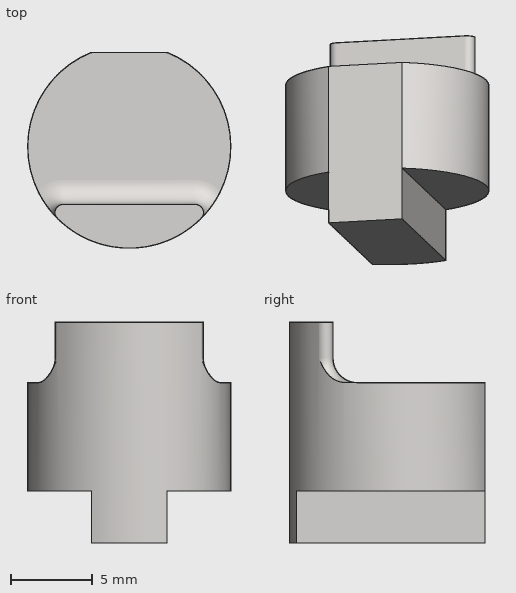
import cadquery as cq
import math

body_radius = 6.23
total_height = 13.54
tongue_height = 3.2
tongue_width = 4.63
shelf_height = 9.85
lip_inner_y = -3.53
lip_corner_radius = 0.51
corner_overlap = 0.001
foot_radius = 1.49

flat_y = math.sqrt(body_radius**2 - (tongue_width / 2) ** 2)

corner_distance = body_radius - lip_corner_radius + corner_overlap
lip_corner_y = lip_inner_y - lip_corner_radius
lip_corner_x = math.sqrt(corner_distance**2 - lip_corner_y**2)


def round_envelope():
    """Full-height cylinder with one flat, which bounds the whole part."""
    cylinder = cq.Workplane("XY").circle(body_radius).extrude(total_height)
    keep = cq.Workplane("XY").box(
        4 * body_radius, 2 * body_radius + flat_y, total_height, centered=(True, False, False)
    ).translate((0, -2 * body_radius, 0))
    return cylinder.intersect(keep)


def flared_profile(plane):
    """Half section of the lip: a wall that flares out into the shelf."""
    toe = lip_corner_radius + foot_radius
    arc_offset = foot_radius * (1 - math.sqrt(0.5))
    return (
        cq.Workplane(plane)
        .moveTo(0, tongue_height)
        .lineTo(toe, tongue_height)
        .lineTo(toe, shelf_height)
        .threePointArc(
            (lip_corner_radius + arc_offset, shelf_height + arc_offset),
            (lip_corner_radius, shelf_height + foot_radius),
        )
        .lineTo(lip_corner_radius, total_height)
        .lineTo(0, total_height)
        .close()
    )


def lip():
    """Upright lip with rounded ends and a fillet around its foot, before trimming to the body."""
    inner_side = (
        flared_profile("YZ")
        .extrude(lip_corner_x, both=True)
        .translate((0, lip_corner_y, 0))
    )
    outer_side = (
        cq.Workplane("XY", origin=(0, 0, tongue_height))
        .polyline([
            (-lip_corner_x, lip_corner_y),
            (lip_corner_x, lip_corner_y),
            (2 * lip_corner_x, 2 * lip_corner_y),
            (-2 * lip_corner_x, 2 * lip_corner_y),
        ])
        .close()
        .extrude(total_height - tongue_height)
    )
    solid = inner_side.union(outer_side)
    rounded_end = flared_profile("XZ").revolve(360, (0, 0, 0), (0, 1, 0))
    for x in (-lip_corner_x, lip_corner_x):
        solid = solid.union(rounded_end.translate((x, lip_corner_y, 0)))
    return solid


shelf = cq.Workplane("XY", origin=(0, 0, tongue_height)).box(
    4 * body_radius, 4 * body_radius, shelf_height - tongue_height, centered=(True, True, False)
)
tongue = cq.Workplane("XY").box(
    tongue_width, 4 * body_radius, tongue_height, centered=(True, True, False)
)

result = shelf.union(tongue).union(lip()).intersect(round_envelope())